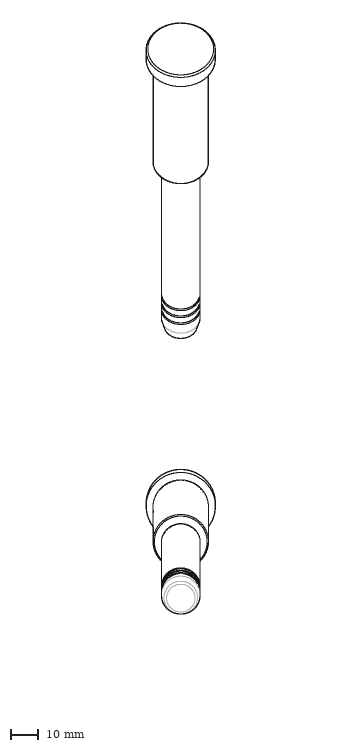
import cadquery as cq

total_length = 161.0
head_diameter = 25.0
head_height = 6.0
head_chamfer = 0.6

sleeve_diameter = 20.0
sleeve_end_depth = 66.0
sleeve_chamfer = 0.5

pin_diameter = 14.0
tip_diameter = 11.8
tip_height = 5.0
tip_fillet = 1.0

relief_depth = 0.5
head_relief_height = 1.1
sleeve_relief_height = 1.3

ring_groove_count = 3
first_ring_groove_height = 10.5
ring_groove_spacing = 4.0
ring_groove_width = 1.0
ring_groove_depth = 0.3

head_bottom = total_length - head_height
sleeve_bottom = total_length - sleeve_end_depth


def cylinder(diameter, bottom, top):
    """Solid cylinder on the Z axis between two heights."""
    return cq.Workplane("XY").workplane(offset=bottom).circle(diameter / 2).extrude(top - bottom)


def ring_cutter(diameter, depth, bottom, height):
    """Rectangular-section ring that cuts a groove into a shaft."""
    outer = cylinder(diameter + 2 * depth, bottom, bottom + height)
    return outer.cut(cylinder(diameter - 2 * depth, bottom, bottom + height))


def v_ring_cutter(diameter, depth, center, width):
    """V-section ring whose point lies below the shaft surface."""
    radius = diameter / 2
    return (
        cq.Workplane("XZ")
        .moveTo(radius, center - width / 2)
        .lineTo(radius - depth, center)
        .lineTo(radius, center + width / 2)
        .lineTo(radius + depth, center + width / 2)
        .lineTo(radius + depth, center - width / 2)
        .close()
        .revolve(360, (0, 0, 0), (0, 1, 0))
    )


def make_head():
    return cylinder(head_diameter, head_bottom, total_length).faces(">Z").chamfer(head_chamfer)


def make_sleeve():
    sleeve = cylinder(sleeve_diameter, sleeve_bottom, head_bottom)
    sleeve = sleeve.faces("<Z").chamfer(sleeve_chamfer)
    relief_bottom = head_bottom - head_relief_height
    return sleeve.cut(ring_cutter(sleeve_diameter, relief_depth, relief_bottom, head_relief_height))


def make_tip():
    tip = (
        cq.Workplane("XY")
        .circle(tip_diameter / 2)
        .workplane(offset=tip_height)
        .circle(pin_diameter / 2)
        .loft()
    )
    return tip.faces("<Z").edges().fillet(tip_fillet)


def make_pin():
    pin = cylinder(pin_diameter, tip_height, sleeve_bottom).union(make_tip())
    relief_bottom = sleeve_bottom - sleeve_relief_height
    pin = pin.cut(ring_cutter(pin_diameter, relief_depth, relief_bottom, sleeve_relief_height))
    for index in range(ring_groove_count):
        height = first_ring_groove_height + index * ring_groove_spacing
        pin = pin.cut(v_ring_cutter(pin_diameter, ring_groove_depth, height, ring_groove_width))
    return pin


result = make_head().union(make_sleeve()).union(make_pin())